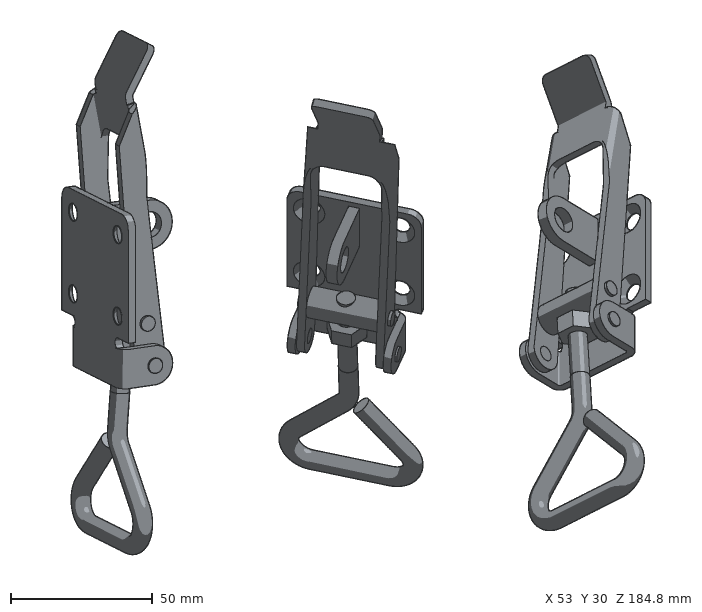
import cadquery as cq
import math


sheet = 3.0
bend_outer = 3.9
bend_inner = bend_outer - sheet

arm_outer = 16.0
arm_inner = arm_outer - sheet
lug_inner = arm_outer + 0.2
lug_outer = lug_inner + sheet

plate_width = 49.7
plate_top = 64.6
plate_bottom = 18.5
plate_corner = 5.0
mount_hole_diameter = 6.5
mount_hole_lip = 0.4
mount_hole_spacing_x = 33.2
mount_hole_low = 26.5
mount_hole_high = 56.3
lug_height = 14.4
lug_radius = lug_height / 2
relief_depth_x = 15.0
pivot_y = 13.7
pivot_z = lug_radius
eye_thickness = 4.0
eye_radius = 9.0
eye_hole_diameter = 9.5
eye_y = 30.0 - eye_radius
eye_z = 53.5

arm_end_radius = 6.1
arm_front_corner = (1.1, 88.5)
arm_top_front = (6.3, 99.5)
arm_back_bend = (12.5, 86.5)
arm_back_edge = (12.2, 68.0)
arm_top_z = 102.3
web_lean = 11.0
web_bottom = 87.7
web_slot_corner = 5.0
tab_half = 11.5
tab_corner = 2.8
tab_bend_z = 105.0
tab_length = 18.8
tab_lean = 30.0

pin_diameter = 5.5
rivet_end = 20.0
cross_pin_end = 17.2
cross_pin_y = 12.2
cross_pin_z = 22.2
cross_pin_core_radius = 5.7

hook_tilt = 4.3
rod_radius = 3.5
thread_radius = 3.42
thread_end = -28.8
hook_bend = 8.3
hook_width = 53.0
hook_half_base = hook_width / 2 - hook_bend - rod_radius
hook_bottom = -80.9
right_leg_angle = 44.6
left_leg_angle = 40.8
left_leg_length = 25.5
nut_width = 12.7
nut_height = 6.5


def side_cylinder(radius, x_start, x_end, y, z):
    """Cylinder along X."""
    start = cq.Vector(x_start, y, z)
    return cq.Workplane(cq.Solid.makeCylinder(radius, x_end - x_start, start, cq.Vector(1, 0, 0)))


def side_sketch(x_start):
    """Workplane at x_start whose local axes are Y and Z and whose normal is +X."""
    return cq.Workplane("YZ", origin=(x_start, 0, 0))


def front_box(x_min, x_max, y_min, y_max, z_min, z_max):
    size = (x_max - x_min, y_max - y_min, z_max - z_min)
    return cq.Workplane().box(*size, centered=False).translate((x_min, y_min, z_min))


def make_base():
    half = plate_width / 2
    plate = front_box(-half, half, 0, sheet, plate_bottom, plate_top)
    plate = plate.edges("|Y and >Z").fillet(plate_corner)
    neck = front_box(-lug_inner, lug_inner, 0, sheet, lug_height, plate_bottom)

    channel = front_box(-lug_outer, lug_outer, 0, pivot_y, 0, lug_height)
    channel = channel.edges("|Z and <Y").fillet(bend_outer)
    hollow = front_box(-lug_inner, lug_inner, sheet, pivot_y, 0, lug_height)
    channel = channel.cut(hollow.edges("|Z and <Y").fillet(bend_inner))
    for x_start in (-lug_outer, lug_inner):
        channel = channel.union(side_cylinder(lug_radius, x_start, x_start + sheet, pivot_y, pivot_z))

    base = plate.union(neck).union(channel).cut(bend_reliefs())
    base = base.cut(side_cylinder(pin_diameter / 2, -lug_outer, lug_outer, pivot_y, pivot_z))
    return base.cut(mount_holes()).union(padlock_eye())


def bend_reliefs():
    """Round-ended slots that free the lugs from the wide part of the plate."""
    height = plate_bottom - lug_height
    length = plate_width / 2
    centre_x = relief_depth_x + length / 2
    return (
        cq.Workplane("XZ")
        .pushPoints([(-centre_x, lug_height + height / 2), (centre_x, lug_height + height / 2)])
        .slot2D(length, height)
        .extrude(-sheet)
    )


def mount_holes():
    """Cutters for the mounting holes, countersunk from the back of the plate."""
    radius = mount_hole_diameter / 2
    sink_depth = sheet - mount_hole_lip
    x = mount_hole_spacing_x / 2
    cutters = cq.Workplane()
    for place in [(side * x, 0, z) for side in (-1, 1) for z in (mount_hole_low, mount_hole_high)]:
        hole = (
            cq.Workplane("XY")
            .polyline([(0, 0), (radius, 0), (radius, mount_hole_lip), (radius + sink_depth, sheet), (0, sheet)])
            .close()
            .revolve(360, (0, 0), (0, 1))
        )
        cutters = cutters.add(hole.translate(place))
    return cutters.combine()


def padlock_eye():
    half = eye_thickness / 2
    eye = front_box(-half, half, sheet, eye_y, eye_z - eye_radius, eye_z + eye_radius)
    eye = eye.union(side_cylinder(eye_radius, -half, half, eye_y, eye_z))
    return eye.cut(side_cylinder(eye_hole_diameter / 2, -half, half, eye_y, eye_z))


def arm_tangent(point, side):
    """Where a line from point touches the round arm end; side is +1 for the back, -1 for the front."""
    dy = point[0] - pivot_y
    dz = point[1] - pivot_z
    angle = math.atan2(dz, dy) - side * math.acos(arm_end_radius / math.hypot(dy, dz))
    return (pivot_y + arm_end_radius * math.cos(angle), pivot_z + arm_end_radius * math.sin(angle))


def web_back(z):
    """Point (y, z) on the back face of the web at height z."""
    return (arm_back_bend[0] - (z - arm_back_bend[1]) * math.tan(math.radians(web_lean)), z)


def arm_outline():
    """Side outline of the arms, as wide as the handle."""
    return (
        side_sketch(-arm_outer)
        .moveTo(*arm_tangent(arm_front_corner, -1))
        .lineTo(*arm_front_corner)
        .lineTo(*arm_top_front)
        .lineTo(*web_back(arm_top_z))
        .lineTo(*arm_back_bend)
        .lineTo(*arm_back_edge)
        .lineTo(*arm_tangent(arm_back_edge, 1))
        .threePointArc((pivot_y, pivot_z - arm_end_radius), arm_tangent(arm_front_corner, -1))
        .close()
        .extrude(2 * arm_outer)
    )


def channel_block(half_width, inset, radius):
    """Block whose back face is the web's back face moved forward by inset, with rounded back edges."""
    shift = inset / math.cos(math.radians(web_lean))
    bottom_y, bottom_z = web_back(pivot_z - 2 * arm_end_radius)
    top_y, top_z = web_back(tab_bend_z)
    block = (
        side_sketch(-half_width)
        .moveTo(0, bottom_z)
        .lineTo(bottom_y - shift, bottom_z)
        .lineTo(top_y - shift, top_z)
        .lineTo(0, top_z)
        .close()
        .extrude(2 * half_width)
    )
    return block.faces(">Y").edges("not(|X)").fillet(radius)


def web_top():
    """Flat middle of the web, which the sloping ends of the arms leave whole."""
    half_width = arm_inner - bend_inner
    lean = math.radians(web_lean)
    outline = [web_back(web_bottom + sheet), web_back(arm_top_z)]
    for y, z in reversed(outline):
        outline = outline + [(y - sheet * math.cos(lean), z - sheet * math.sin(lean))]
    return side_sketch(-half_width).polyline(outline).close().extrude(2 * half_width)


def finger_tab():
    """Short strip that continues the web upward and leans back."""
    back_lean = math.radians(tab_lean)
    front_lean = math.radians(web_lean)
    foot = web_back(web_bottom + sheet)
    tab_bend = web_back(tab_bend_z)
    tip = (tab_bend[0] + tab_length * math.sin(back_lean), tab_bend[1] + tab_length * math.cos(back_lean))
    half_turn = (back_lean + front_lean) / 2
    middle = (back_lean - front_lean) / 2
    reach = sheet / math.cos(half_turn)
    tip_front = (tip[0] - sheet * math.cos(back_lean), tip[1] + sheet * math.sin(back_lean))
    bend_front = (tab_bend[0] - reach * math.cos(middle), tab_bend[1] + reach * math.sin(middle))
    foot_front = (foot[0] - sheet * math.cos(front_lean), foot[1] - sheet * math.sin(front_lean))
    strip = (
        side_sketch(-tab_half)
        .polyline([foot, tab_bend, tip, tip_front, bend_front, foot_front])
        .close()
        .extrude(2 * tab_half)
    )
    strip = strip.edges(cq.selectors.NearestToPointSelector((0, *tab_bend))).fillet(bend_inner)
    strip = strip.edges(cq.selectors.NearestToPointSelector((0, *bend_front))).fillet(bend_outer)
    for x in (-tab_half, tab_half):
        tip_edge = cq.selectors.NearestToPointSelector(
            (x, (tip[0] + tip_front[0]) / 2, (tip[1] + tip_front[1]) / 2)
        )
        strip = strip.edges(tip_edge).fillet(tab_corner)
    return strip


def make_handle():
    handle = arm_outline().intersect(channel_block(arm_outer, 0, bend_outer))
    handle = handle.cut(channel_block(arm_inner, sheet, bend_inner))
    opening = front_box(-arm_inner, arm_inner, 0, plate_width, -plate_top, web_bottom)
    handle = handle.cut(opening.edges("|Y and >Z").fillet(web_slot_corner))
    handle = handle.union(web_top()).union(finger_tab())
    for y, z in ((pivot_y, pivot_z), (cross_pin_y, cross_pin_z)):
        handle = handle.cut(side_cylinder(pin_diameter / 2, -arm_outer, arm_outer, y, z))
    return handle


def make_rivet(side):
    x_start = min(side * arm_inner, side * rivet_end)
    return side_cylinder(pin_diameter / 2, x_start, x_start + rivet_end - arm_inner, pivot_y, pivot_z)


def on_hook_axis(body):
    """Tilts a body with the hook and moves it to the cross pin."""
    return body.rotate((0, 0, 0), (1, 0, 0), -hook_tilt).translate((0, cross_pin_y, cross_pin_z))


def thread():
    length = cross_pin_core_radius - thread_end
    return cq.Workplane("XY", origin=(0, 0, thread_end)).circle(thread_radius).extrude(length)


def make_cross_pin():
    pin = side_cylinder(pin_diameter / 2, -cross_pin_end, cross_pin_end, 0, 0)
    pin = pin.union(side_cylinder(cross_pin_core_radius, -arm_inner, arm_inner, 0, 0))
    return on_hook_axis(pin.cut(thread()))


def make_nut():
    corner_diameter = nut_width / math.cos(math.radians(30))
    nut = (
        cq.Workplane("XY", origin=(0, 0, -cross_pin_core_radius - nut_height))
        .polygon(6, corner_diameter)
        .extrude(nut_height)
    )
    return on_hook_axis(nut.cut(thread()))


def make_hook():
    right = math.radians(right_leg_angle)
    left = math.radians(left_leg_angle)
    centre_z = hook_bottom + hook_bend

    def around(side, degrees):
        """Point on a lower bend, at an angle above the outward horizontal."""
        angle = math.radians(degrees)
        x = side * (hook_half_base + hook_bend * math.cos(angle))
        return (x, centre_z + hook_bend * math.sin(angle))

    right_leg_foot = around(1, right_leg_angle)
    left_leg_foot = around(-1, left_leg_angle)
    left_leg_end = (
        left_leg_foot[0] + left_leg_length * math.sin(left),
        left_leg_foot[1] + left_leg_length * math.cos(left),
    )
    leg_meets_axis = right_leg_foot[1] + right_leg_foot[0] / math.tan(right)
    upper_bend_z = leg_meets_axis + hook_bend * math.tan(right / 2)

    def upper_bend(angle):
        return (hook_bend * (1 - math.cos(angle)), upper_bend_z - hook_bend * math.sin(angle))

    path = (
        cq.Workplane("XZ")
        .moveTo(0, thread_end)
        .lineTo(*upper_bend(0))
        .threePointArc(upper_bend(right / 2), upper_bend(right))
        .lineTo(*right_leg_foot)
        .threePointArc(around(1, 0), (hook_half_base, hook_bottom))
        .lineTo(-hook_half_base, hook_bottom)
        .threePointArc(around(-1, 0), left_leg_foot)
        .lineTo(*left_leg_end)
    )
    rod = cq.Workplane("XY", origin=(0, 0, thread_end)).circle(rod_radius).sweep(path)
    return on_hook_axis(rod.union(thread()))


base = make_base()
handle = make_handle()
rivets = [make_rivet(side) for side in (-1, 1)]
cross_pin = make_cross_pin()
nut = make_nut()
hook = make_hook()

result = cq.Compound.makeCompound(
    [
        base.val(),
        handle.val(),
        *[rivet.val() for rivet in rivets],
        cross_pin.val(),
        nut.val(),
        hook.val(),
    ]
)